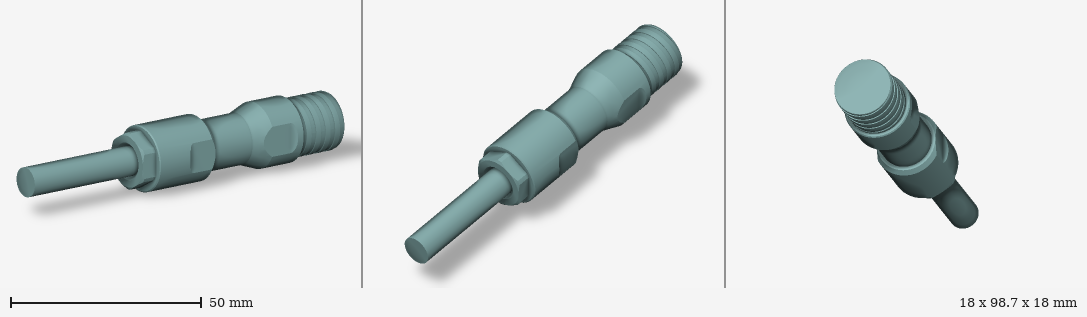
import cadquery as cq
import math

total_length = 98.7

thread_end = 14.1
cone_start = 24.0
cone_end = 29.6
sleeve_start = 42.4
sleeve_full = 43.6
sleeve_end = 61.4
hex_end = 65.5

body_diameter = 18.0
neck_diameter = 13.9
sleeve_front_diameter = 15.9
cable_diameter = 8.0
edge_chamfer = 0.3

root_diameter = 15.4
crest_diameter = 15.9
five_turn_length = 15.5
thread_pitch = five_turn_length / 5
crest_width = 1.6
crest_offset = 2.5
lead_in_diameter = 15.2
lead_in_length = 0.7
rib_embed = 0.3

flat_distance = 8.0
flat_runout_radius = 2.3
collar_flat_start = 18.1
sleeve_flat_end = 49.5

nut_across_flats = 13.9
nut_corner_diameter = 15.4
nut_chamfer_length = 0.5
nut_mouth_diameter = 10.1
nut_mouth_depth = 1.0


def revolve_profile(points):
    """Turn (radius, distance from threaded end) points around the Y axis."""
    outline = [(radius, -distance) for radius, distance in points]
    return cq.Workplane("XY").polyline(outline).close().revolve(360, (0, 0, 0), (0, 1, 0))


def make_body():
    body_radius = body_diameter / 2
    neck_radius = neck_diameter / 2
    root_radius = root_diameter / 2
    lead_in_slope = (crest_diameter - lead_in_diameter) / 2 / lead_in_length
    root_lead_in_length = (root_diameter - lead_in_diameter) / 2 / lead_in_slope
    return revolve_profile([
        (0, 0),
        (lead_in_diameter / 2, 0),
        (root_radius, root_lead_in_length),
        (root_radius, thread_end),
        (body_radius - edge_chamfer, thread_end),
        (body_radius, thread_end + edge_chamfer),
        (body_radius, cone_start),
        (neck_radius, cone_end),
        (neck_radius, sleeve_start),
        (sleeve_front_diameter / 2, sleeve_start),
        (body_radius, sleeve_full),
        (body_radius, sleeve_end - edge_chamfer),
        (body_radius - edge_chamfer, sleeve_end),
        (0, sleeve_end),
    ])


def make_thread_rib():
    """Right-handed rib, trimmed to the threaded length."""
    inner_radius = root_diameter / 2 - rib_embed
    crest_radius = crest_diameter / 2
    start = crest_offset - 2 * thread_pitch
    turns = math.ceil((thread_end - start) / thread_pitch) + 1
    helix = cq.Wire.makeHelix(thread_pitch, turns * thread_pitch, inner_radius)
    rib = (
        cq.Workplane("XZ")
        .center((inner_radius + crest_radius) / 2, 0)
        .rect(crest_radius - inner_radius, crest_width)
        .sweep(cq.Workplane(obj=helix), isFrenet=True)
        .translate((0, 0, start))
        .rotate((0, 0, 0), (1, 0, 0), 90)
    )
    trim = revolve_profile([
        (0, 0),
        (lead_in_diameter / 2, 0),
        (crest_radius, lead_in_length),
        (body_diameter, lead_in_length),
        (body_diameter, thread_end),
        (0, thread_end),
    ])
    return rib.intersect(trim)


def make_flat_cutters(full_depth_end, open_end):
    """Pair of cutters, curving out beyond full_depth_end and running past open_end."""
    body_radius = body_diameter / 2
    direction = math.copysign(1, full_depth_end - open_end)
    outer = flat_distance + flat_runout_radius
    runout_end = full_depth_end + direction * flat_runout_radius
    arc_offset = flat_runout_radius * math.sqrt(0.5)
    arc_middle = (outer - arc_offset, -(full_depth_end + direction * arc_offset))
    cutter = (
        cq.Workplane("XY")
        .moveTo(flat_distance, -open_end)
        .lineTo(flat_distance, -full_depth_end)
        .threePointArc(arc_middle, (outer, -runout_end))
        .lineTo(outer, -open_end)
        .close()
        .extrude(body_radius, both=True)
    )
    return cutter.union(cutter.mirror("YZ"))


def make_nut():
    """Hexagon with corners on +Z and -Z, turned corners and a conical mouth."""
    hex_diameter = nut_across_flats / math.cos(math.pi / 6)
    hexagon = (
        cq.Workplane("XZ", origin=(0, -sleeve_end, 0))
        .transformed(rotate=(0, 0, 90))
        .polygon(6, hex_diameter)
        .extrude(hex_end - sleeve_end)
    )
    envelope = revolve_profile([
        (0, sleeve_end),
        (nut_corner_diameter / 2, sleeve_end),
        (nut_corner_diameter / 2, hex_end - nut_chamfer_length),
        (nut_across_flats / 2, hex_end),
        (0, hex_end),
    ])
    mouth = revolve_profile([
        (0, hex_end - nut_mouth_depth),
        (cable_diameter / 2, hex_end - nut_mouth_depth),
        (nut_mouth_diameter / 2, hex_end),
        (0, hex_end),
    ])
    return hexagon.intersect(envelope).cut(mouth)


def make_cable():
    cable_radius = cable_diameter / 2
    return revolve_profile([
        (0, sleeve_end),
        (cable_radius, sleeve_end),
        (cable_radius, total_length),
        (0, total_length),
    ])


neck_middle = (cone_end + sleeve_start) / 2

body = make_body()
body = body.cut(make_flat_cutters(collar_flat_start, neck_middle))
body = body.cut(make_flat_cutters(sleeve_flat_end, neck_middle))

result = body.union(make_thread_rib()).union(make_nut()).union(make_cable())